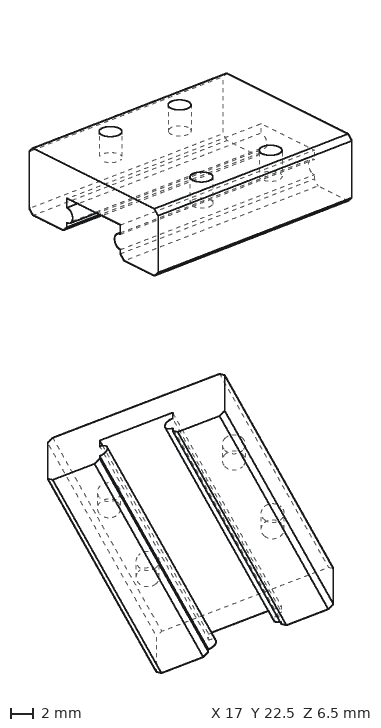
import cadquery as cq

width = 17.0
length = 22.5
height = 6.5
edge_chamfer = 0.5

channel_width = 7.0
channel_depth = 3.28
bead_radius = 0.75
bead_height = 1.65

hole_diameter = 2.0
hole_depth = 2.5
hole_spacing_x = 12.0
hole_spacing_y = 8.0


def centered_bar(bar_width, bar_height):
    """Full-length bar standing on the base plane, centered in X and Y."""
    return cq.Workplane("XY").box(bar_width, length, bar_height, centered=(True, True, False))


block = centered_bar(width, height).edges("|Y").chamfer(edge_chamfer)

block = block.cut(centered_bar(channel_width, channel_depth))
mouth_edges = cq.selectors.BoxSelector(
    (-channel_width / 2 - edge_chamfer / 2, -length, -edge_chamfer / 2),
    (channel_width / 2 + edge_chamfer / 2, length, edge_chamfer / 2),
)
block = block.edges("|Y").edges(mouth_edges).chamfer(edge_chamfer)

beads = (
    cq.Workplane("XZ")
    .pushPoints([(side * channel_width / 2, bead_height) for side in (-1, 1)])
    .circle(bead_radius)
    .extrude(length / 2, both=True)
)
block = block.union(beads)

holes = (
    cq.Workplane("XY", origin=(0, 0, height - hole_depth))
    .rarray(hole_spacing_x, hole_spacing_y, 2, 2)
    .circle(hole_diameter / 2)
    .extrude(hole_depth)
)
result = block.cut(holes)